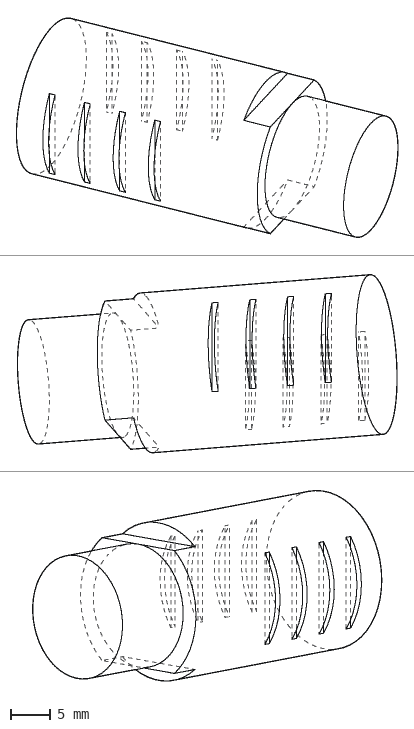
import cadquery as cq

total_length = 45.45
body_diameter = 20.55
body_length = 34.3
spigot_diameter = 16.0

flat_length = 3.77
flat_spacing = spigot_diameter

slot_count = 4
slot_start = 3.77
slot_width = 0.8
slot_pitch = 5.0
slot_floor_spacing = 16.75


def cylinder_along_x(diameter, length):
    return cq.Workplane("YZ").circle(diameter / 2).extrude(length)


def box_from(x, length, size_y, size_z):
    """Box centred on the part axis, starting at the given X."""
    return (
        cq.Workplane("XY")
        .box(length, size_y, size_z, centered=(False, True, True))
        .translate((x, 0, 0))
    )


def wrench_flat_cutter():
    start = body_length - flat_length
    stock = box_from(start, flat_length, body_diameter, body_diameter)
    return stock.cut(box_from(start, flat_length, body_diameter, flat_spacing))


def slot_cutter(x):
    stock = box_from(x, slot_width, body_diameter, body_diameter)
    return stock.cut(box_from(x, slot_width, slot_floor_spacing, body_diameter))


body = cylinder_along_x(body_diameter, body_length)
spigot = cylinder_along_x(spigot_diameter, total_length)

body = body.cut(wrench_flat_cutter())
for index in range(slot_count):
    body = body.cut(slot_cutter(slot_start + index * slot_pitch))

result = body.union(spigot)